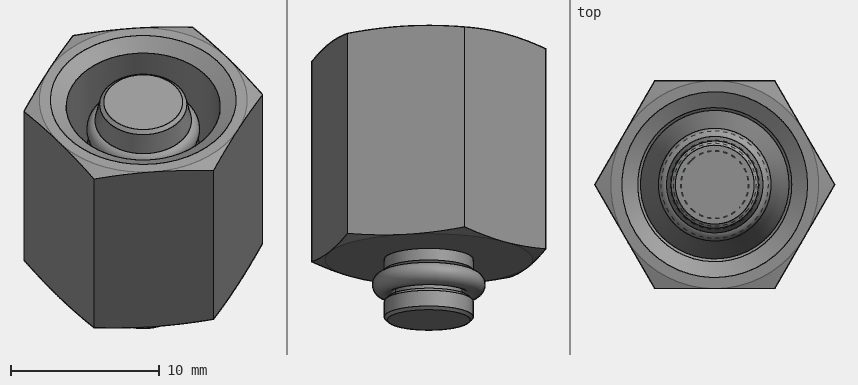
import cadquery as cq
import math

NUT_BOTTOM = 4.2
NUT_TOP = 18.69
ACROSS_FLATS = 14.0
ACROSS_CORNERS = ACROSS_FLATS / math.cos(math.radians(30))
CORNER_CHAMFER_ANGLE = 15.0
BORE_DIAMETER = 10.37
COUNTERSINK_DIAMETER = 12.5
COUNTERSINK_DEPTH = 0.62

SPIGOT_DIAMETER = 6.0
COLLAR_DIAMETER = 10.0
TIP_DIAMETER = 5.87
PLUG_TOP = 18.48
EDGE_CHAMFER = 0.2
TIP_CHAMFER_WIDTH = 0.28
CONE_HALF_ANGLE = 12.0
cone_slope = math.tan(math.radians(CONE_HALF_ANGLE))
cone_top = PLUG_TOP - EDGE_CHAMFER
collar_z = cone_top - (COLLAR_DIAMETER - TIP_DIAMETER) / 2 / cone_slope

seat_bottom = collar_z - (COLLAR_DIAMETER - SPIGOT_DIAMETER) / 2
seat_top = collar_z + (BORE_DIAMETER - COLLAR_DIAMETER) / 2

GROOVE_DIAMETER = 4.5
GROOVE_WIDTH = 1.7
RING_INNER_DIAMETER = 4.6
RING_SECTION = 1.5
LOWER_GROOVE_BOTTOM = 1.5
UPPER_GROOVE_TOP = 16.8
lower_groove_top = LOWER_GROOVE_BOTTOM + GROOVE_WIDTH
upper_groove_bottom = UPPER_GROOVE_TOP - GROOVE_WIDTH
lower_ring_z = lower_groove_top - RING_SECTION / 2
upper_ring_z = UPPER_GROOVE_TOP - GROOVE_WIDTH / 2


def revolve_about_z(profile):
    """Revolve a closed outline of (radius, z) points about the Z axis."""
    return cq.Workplane("XZ").polyline(profile).close().revolve(360, (0, 0), (0, 1))


def make_nut():
    """Hexagonal nut with corner chamfers at both ends."""
    height = NUT_TOP - NUT_BOTTOM
    hexagon = cq.Workplane("XY").workplane(offset=NUT_BOTTOM).polygon(6, ACROSS_CORNERS).extrude(height)

    face_radius = ACROSS_FLATS / 2
    corner_radius = ACROSS_CORNERS / 2
    corner_drop = (corner_radius - face_radius) * math.tan(math.radians(CORNER_CHAMFER_ANGLE))
    envelope = revolve_about_z([
        (0, NUT_BOTTOM),
        (face_radius, NUT_BOTTOM),
        (corner_radius, NUT_BOTTOM + corner_drop),
        (corner_radius, NUT_TOP - corner_drop),
        (face_radius, NUT_TOP),
        (0, NUT_TOP),
    ])

    bore = revolve_about_z([
        (0, NUT_BOTTOM),
        (SPIGOT_DIAMETER / 2, NUT_BOTTOM),
        (SPIGOT_DIAMETER / 2, seat_bottom),
        (BORE_DIAMETER / 2, seat_top),
        (BORE_DIAMETER / 2, NUT_TOP - COUNTERSINK_DEPTH),
        (COUNTERSINK_DIAMETER / 2, NUT_TOP),
        (0, NUT_TOP),
    ])
    return hexagon.intersect(envelope).cut(bore)


def make_plug():
    """Turned plug with a spigot groove and a groove in the sealing cone."""
    spigot_radius = SPIGOT_DIAMETER / 2
    chamfered_radius = spigot_radius - EDGE_CHAMFER
    groove_radius = GROOVE_DIAMETER / 2
    tip_radius = TIP_DIAMETER / 2

    def cone_point(z):
        return (tip_radius + (cone_top - z) * cone_slope, z)

    return revolve_about_z([
        (0, 0),
        (chamfered_radius, 0),
        (spigot_radius, EDGE_CHAMFER),
        (spigot_radius, LOWER_GROOVE_BOTTOM - EDGE_CHAMFER),
        (chamfered_radius, LOWER_GROOVE_BOTTOM),
        (groove_radius, LOWER_GROOVE_BOTTOM),
        (groove_radius, lower_groove_top),
        (chamfered_radius, lower_groove_top),
        (spigot_radius, lower_groove_top + EDGE_CHAMFER),
        (spigot_radius, seat_bottom),
        (COLLAR_DIAMETER / 2, collar_z),
        cone_point(upper_groove_bottom),
        (groove_radius, upper_groove_bottom),
        (groove_radius, UPPER_GROOVE_TOP),
        cone_point(UPPER_GROOVE_TOP),
        (tip_radius, cone_top),
        (tip_radius - TIP_CHAMFER_WIDTH, PLUG_TOP),
        (0, PLUG_TOP),
    ])


def make_o_ring(center_z):
    """O-ring of round section at the given height."""
    section_center = (RING_INNER_DIAMETER + RING_SECTION) / 2
    section = cq.Workplane("XZ").center(section_center, center_z).circle(RING_SECTION / 2)
    return section.revolve(360, (-section_center, 0), (-section_center, 1))


nut = make_nut()
plug = make_plug()
o_rings = [make_o_ring(z) for z in (lower_ring_z, upper_ring_z)]

result = cq.Compound.makeCompound([nut.val(), plug.val(), *[ring.val() for ring in o_rings]])